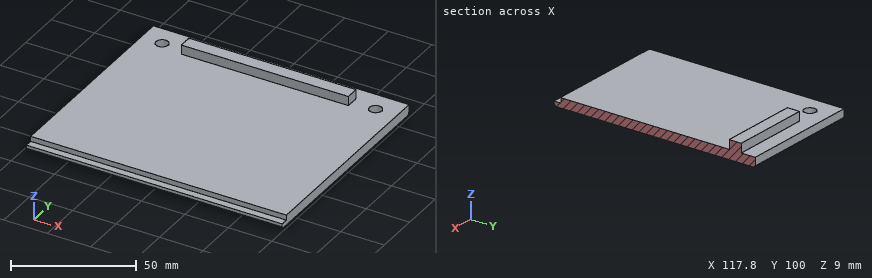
import cadquery as cq

width = 117.8
depth = 100.0
plate_thickness = 4.7
edge_chamfer = 1.0

lip_length = 3.3
lip_thickness = plate_thickness / 2

overall_height = 9.0
bar_length = 77.0
bar_width = 6.0
bar_rear_gap = 7.0

hole_diameter = 5.5
hole_inset = 9.8

front = -depth / 2
rear = depth / 2


def make_plate():
    """Plate with a stepped front lip and chamfered front and rear bottom edges."""
    side_profile = [
        (front + edge_chamfer, 0),
        (rear - edge_chamfer, 0),
        (rear, edge_chamfer),
        (rear, plate_thickness),
        (front + lip_length, plate_thickness),
        (front + lip_length, lip_thickness),
        (front, lip_thickness),
        (front, edge_chamfer),
    ]
    return cq.Workplane("YZ").polyline(side_profile).close().extrude(width / 2, both=True)


def make_bar():
    """Rectangular bar standing on the plate, running along X."""
    bar_center_y = rear - bar_rear_gap - bar_width / 2
    return (
        cq.Workplane("XY")
        .center(0, bar_center_y)
        .rect(bar_length, bar_width)
        .extrude(overall_height)
    )


def make_holes():
    """Pair of cylinders that cut the corner holes through the plate."""
    hole_x = width / 2 - hole_inset
    hole_y = rear - hole_inset
    return (
        cq.Workplane("XY")
        .pushPoints([(-hole_x, hole_y), (hole_x, hole_y)])
        .circle(hole_diameter / 2)
        .extrude(plate_thickness)
    )


result = make_plate().union(make_bar()).cut(make_holes())